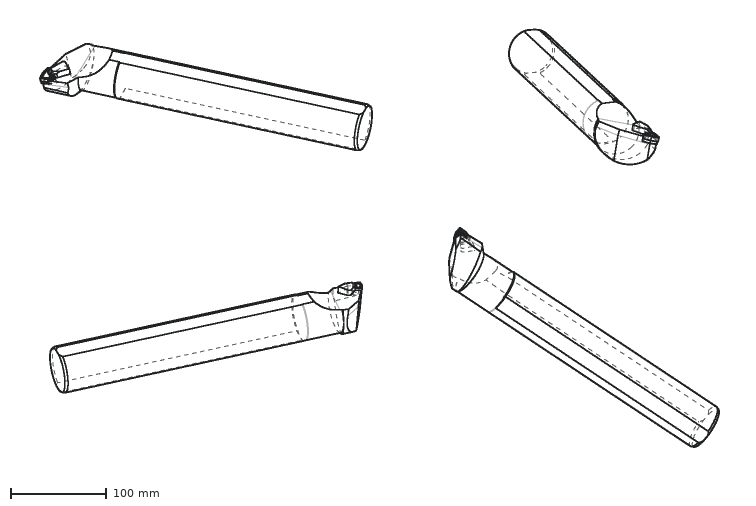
import math

import cadquery as cq

total_length = 350.0
shank_radius = 25.0
flat_height = 23.5
shank_start = 80.0
end_chamfer_length = 3.0
end_chamfer_depth = 1.2
neck_radius = 24.75
neck_offset = shank_radius - neck_radius
neck_step_length = 1.0

head_radius = 29.7
head_offset = shank_radius - head_radius
head_end = 39.4
nose_reach = 34.99

face_height = 6.4
slope_x = 0.10
slope_y = 0.228
face_normal = cq.Vector(-slope_x, -slope_y, 1).normalized()
face_x_dir = cq.Vector(1, 0, slope_x).normalized()
scoop_start = 39.0
scoop_radius = 45.0
scoop_skew = math.radians(9)
clearance_size = 120.0

facet_angle = math.radians(25)
facet_start = (1.1, -26.4)
facet_end_y = 4.2
facet_end = (facet_start[0] + (facet_end_y - facet_start[1]) * math.tan(facet_angle), facet_end_y)
side_y = -33.7
toe_x = 2.2
outline_back_x = 60.0
outline_top_y = 35.0
head_outline = [
    (toe_x, side_y),
    facet_start,
    facet_end,
    (facet_end[0] + outline_top_y - facet_end[1], outline_top_y),
    (outline_back_x, outline_top_y),
    (outline_back_x, side_y),
]
wall_depth = 6.4
wall_overshoot = 1.0
relief_direction = cq.Vector(0.13, 0.12, -1)
relief_depth = 40.0

inscribed_radius = 6.35
insert_thickness = 4.76
shim_thickness = 3.18
shim_inset = 0.3
rim_width = 0.5
groove_width = 1.4
groove_depth = 0.4
nose_radius = 0.8
corner_half_angle = math.radians(40)
nose_height = 1.2

clamp_rise = 0.2
clamp_heading = math.radians(41)
clamp_back_height = 12.0
clamp_thickness = 9.0
clamp_corner_radius = 2.5
clamp_outline = [
    (19.0, -10.6),
    (28.5, -21.9),
    (16.5, -29.0),
    (9.0, -30.5),
    (5.8, -27.0),
]
clamp_nose_edge = (9.6, -25.5)
clamp_nose_slope = math.radians(50)
clamp_side_edge = (14.0, -27.8)
clamp_side_heading = math.radians(-90)
clamp_side_slope = math.radians(60)


def face_point(x, y):
    """Point of the chip face above (x, y)."""
    return cq.Vector(x, y, face_height + slope_x * x + slope_y * y)


def x_cylinder(radius, y, start, end):
    """Cylinder along X."""
    return cq.Workplane("YZ", origin=(start, y, 0)).circle(radius).extrude(end - start)


def slanted_prism(points, direction):
    """Prism from a closed polygon of 3D points, swept along a direction."""
    wire = cq.Wire.makePolygon(points, close=True)
    return cq.Workplane(obj=cq.Solid.extrudeLinear(wire, [], direction))


nose_center = cq.Vector(
    nose_radius * math.sqrt(1 - face_normal.x**2),
    -nose_reach + nose_radius * math.sqrt(1 - face_normal.y**2),
    nose_height,
)


def trigon(inset, top_depth, thickness):
    """Three-cornered plate with bent sides, rounded corners, parallel to the chip face."""
    corner_distance = (inscribed_radius - inset) / math.sin(corner_half_angle)
    bend_distance = (inscribed_radius - inset) / math.sin(2 * corner_half_angle)
    nose_to_center = (inscribed_radius - nose_radius) / math.sin(corner_half_angle)
    bisector = math.radians(45)
    center = (nose_to_center * math.cos(bisector), nose_to_center * math.sin(bisector))
    center_u, center_v = center
    points = []
    for i in range(6):
        angle = bisector + math.pi + i * math.pi / 3
        distance = corner_distance if i % 2 == 0 else bend_distance
        points.append((center_u + distance * math.cos(angle), center_v + distance * math.sin(angle)))
    plane = cq.Plane(origin=nose_center - face_normal * top_depth, xDir=face_x_dir, normal=face_normal)
    plate = cq.Workplane(plane).polyline(points).close().extrude(-thickness)
    for i in (0, 2, 4):
        corner = plane.toWorldCoords(points[i])
        middle = corner - face_normal * (thickness / 2)
        plate = plate.edges(cq.NearestToPointSelector(middle.toTuple())).fillet(nose_radius)
    return plate


def make_shank():
    """Shank with chamfered end and flats, and the neck that carries on from it."""
    chamfer_start = total_length - end_chamfer_length
    end_radius = shank_radius - end_chamfer_depth
    step_start = shank_start - neck_step_length
    shank = x_cylinder(shank_radius, 0, shank_start, chamfer_start)
    end_taper = (
        cq.Workplane("YZ", origin=(chamfer_start, 0, 0)).circle(shank_radius)
        .workplane(offset=end_chamfer_length).circle(end_radius).loft()
    )
    step = (
        cq.Workplane("YZ", origin=(step_start, neck_offset, 0)).circle(neck_radius)
        .workplane(offset=neck_step_length).center(-neck_offset, 0).circle(shank_radius).loft()
    )
    neck = x_cylinder(neck_radius, neck_offset, head_end, step_start)
    bar = neck.union(step).union(shank).union(end_taper)
    top = cq.Workplane("XY", origin=(0, 0, flat_height)).rect(
        2 * total_length, clearance_size).extrude(clearance_size)
    bottom = cq.Workplane("XY", origin=(shank_start, 0, -flat_height)).rect(
        total_length, clearance_size).extrude(-clearance_size)
    bottom = bottom.translate((total_length / 2, 0, 0))
    return bar.cut(top).cut(bottom)


def make_head():
    """Wider, eccentric head with a faceted front."""
    blank = x_cylinder(head_radius, head_offset, 0, head_end)
    cone = (
        cq.Workplane("XY", origin=(0, neck_offset, 0))
        .polyline([(0, 0), (0, neck_radius + head_end), (head_end, neck_radius), (head_end, 0)])
        .close().revolve(360, (0, 0, 0), (1, 0, 0))
    )
    wall_foot = [face_point(x, y) - face_normal * wall_depth for x, y in head_outline]
    walls = slanted_prism(wall_foot, face_normal * (wall_depth + wall_overshoot))
    relief = slanted_prism(wall_foot, relief_direction * relief_depth)
    return blank.intersect(cone).intersect(walls.union(relief))


def make_scoop():
    """Space above the chip face and its curved run-out into the neck."""
    heading_x = math.cos(scoop_skew)
    heading_y = -math.sin(scoop_skew)
    heading = cq.Vector(heading_x, heading_y, slope_x * heading_x + slope_y * heading_y)
    plane = cq.Plane(origin=face_point(0, 0), xDir=heading, normal=heading.cross(face_normal))
    return (
        cq.Workplane(plane).moveTo(-clearance_size, 0).lineTo(scoop_start, 0)
        .radiusArc((scoop_start + scoop_radius, scoop_radius), -scoop_radius)
        .lineTo(-clearance_size, scoop_radius).close().extrude(clearance_size, both=True)
    )


def sloped_cut(edge, heading, slope, level):
    """Half space outside a face that falls from an edge towards a heading."""
    outward = (math.cos(heading), math.sin(heading))
    normal = cq.Vector(
        outward[0] * math.sin(slope), outward[1] * math.sin(slope), math.cos(slope))
    along = cq.Vector(-outward[1], outward[0], 0)
    plane = cq.Plane(origin=(edge[0], edge[1], level), xDir=along, normal=normal)
    return cq.Workplane(plane).rect(clearance_size, clearance_size).extrude(clearance_size)


def make_clamp():
    """Clamp that presses on the insert, with a sloped nose and a sloped -Y side."""
    rise_x = clamp_rise * math.cos(clamp_heading)
    rise_y = clamp_rise * math.sin(clamp_heading)
    back = clamp_outline[0]

    def top_level(x, y):
        return clamp_back_height + rise_x * (x - back[0]) + rise_y * (y - back[1])

    normal = cq.Vector(-rise_x, -rise_y, 1).normalized()
    top_outline = [cq.Vector(x, y, top_level(x, y)) for x, y in clamp_outline]
    clamp = slanted_prism(top_outline, normal * -clamp_thickness)
    back_edge = top_outline[0] - normal * (clamp_thickness / 2)
    clamp = clamp.edges(cq.NearestToPointSelector(back_edge.toTuple())).fillet(clamp_corner_radius)
    nose = sloped_cut(
        clamp_nose_edge, clamp_heading + math.pi, clamp_nose_slope, top_level(*clamp_nose_edge))
    side = sloped_cut(
        clamp_side_edge, clamp_side_heading, clamp_side_slope, top_level(*clamp_side_edge))
    return clamp.cut(nose).cut(side)


def make_insert(plate):
    """Insert with a chip groove running all round, just inside the cutting edges."""
    recess = trigon(rim_width, 0, groove_depth)
    middle = trigon(rim_width + groove_width, 0, groove_depth)
    groove = recess.cut(middle)
    return plate.cut(groove)


insert_plate = trigon(0, 0, insert_thickness)
insert = make_insert(insert_plate)
shim = trigon(shim_inset, insert_thickness, shim_thickness)
pocket = trigon(0, 0, insert_thickness + shim_thickness)

holder = make_shank().union(make_head()).cut(make_scoop()).cut(pocket)
holder = holder.union(shim).union(make_clamp()).cut(insert_plate)

result = cq.Compound.makeCompound([*holder.vals(), insert.val()])